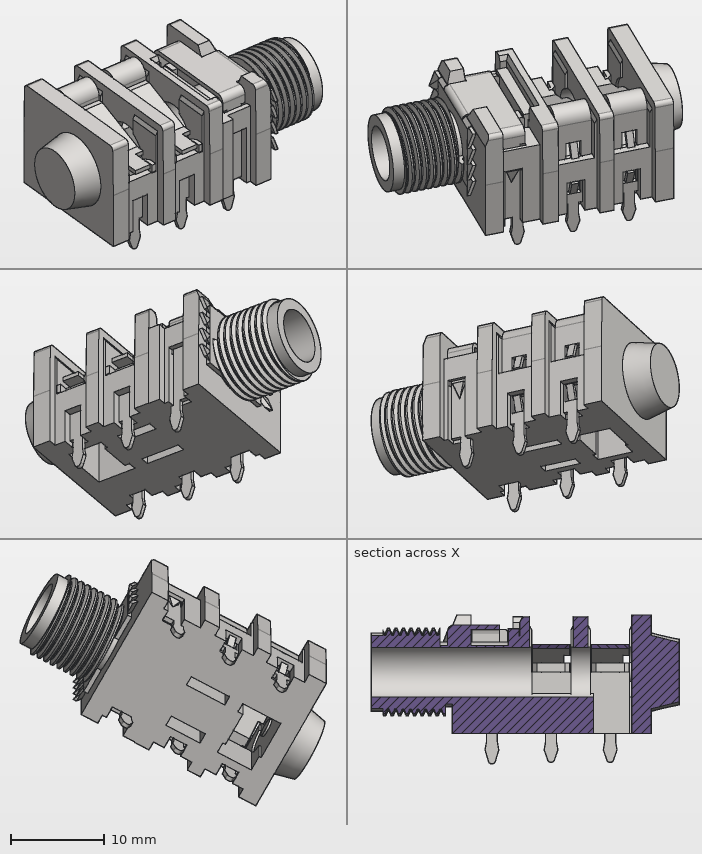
import cadquery as cq
import math

body_width = 15.75
body_length = 21.4
axis_x = 1.45
axis_z = 6.6
bay_pitch = 6.35
rear_bay_y = 4.43
bay_centres = [rear_bay_y, rear_bay_y + bay_pitch]
ground_y = rear_bay_y + 2 * bay_pitch

end_plate_top = 12.75
mid_plate_top = 12.55
side_draft = 0.12
plate_corner = 0.5
rear_plate = (0, 2.12)
middle_plate = (6.79, 8.4)
inner_plate = (13.09, 14.89)
front_plate = (19.36, body_length)

wall_x = 6.86
bay_left_x = -1.56
bay_right_x = 4.55
trough_x = (-0.5, 3.36)
trough_y = (6.2, 13.09)
trough_top = 4.4
nub_radius = 1.03
rib_inner_x = 2.82
rib_depth = 0.26
rib_height = 11.1
rib_slope = 0.5

chamber_wall_top = 9.76
side_stop_x = 7.82
chamber_x = (-3.33, 5.36)
strap_space_x = (-6.46, 6.25)
guide_y = (15.43, 16.3)
guide_top = 11.18
guide_chamfer = 0.2
guide_inner_x = (-1.95, 4.9)
key_x = (-3.03, 5.96)
key_y = (14.2, 15.4)
key_top = 11.28
key_notch_x = (-3.33, 6.25)
key_notch_y = 14.15
key_notch_floor = 10.5
key_bevel = 0.3
key_bevel_depth = 0.6

bore_radius = 3.0
neck_radius = 3.24
bushing_radius = 4.22
thread_root_radius = bushing_radius - 0.1
thread_radius = 4.73
thread_pitch = 0.805
thread_crest = 0.2
thread_root_width = 0.76
thread_start = 21.8
thread_end = 28.84
core_start = 22.1
relief_end = 22.7
collar_radius = 3.75
bushing_end = 30.1
tail_length = 3.0
tail_end_radius = 3.53

sheet = 0.5
contact_width = 4.05
leg_width = 2.0
leg_x = 6.04
pin_width = 1.2
pin_bulge = 1.5
contact_pin_length = 3.1
total_height = 16.02
ground_pin_length = total_height - end_plate_top

roll_radius = 1.52
roll_z = mid_plate_top - roll_radius
blade_start = (-2.4, 10.3)
blade_end = (3.7, 7.85)
arm_end_x = 7.3
arm_root_x = 4.75
notch_x = 1.76
notch_depth = 0.64
window_width = 1.7
window_height = 2.0
tongue_width = 0.8
tongue_reach = 0.65
tongue_gap = 0.3
upper_window_z = axis_z
lower_window_z = 1.9
leg_recess_top = 4.0
pin_shoulder_z = 0.6
pin_taper_start = -0.9
pin_bulge_z = -1.75
pin_tip_width = 0.8
pin_tip_height = 0.35

switch_x = 5.44
fork_end_x = 6.97
fork_width = 0.5
fork_height = 1.0

strap_y = (16.3, 19.3)
strap_top = 11.67
strap_left_x = -6.1
strap_right_x = 6.0
strap_corner = 0.86
tongue_x = (-1.54, 4.49)
tongue_bend = 0.7
gap_bottom_x = (-1.6, 4.54)
gap_slope = 0.72
gap_floor = strap_top - sheet
washer_front = 21.9
washer_x = (-3.4, 6.4)
washer_z = (3.4, 11.5)
washer_bevel = 0.45
tooth_outer_x = (-4.8, 7.75)
tooth_count = 4
tooth_pitch = 2.06
tooth_height = 1.75
tooth_lean = 0.4
tooth_tip_y = 22.45
ground_recess_top = 7.1
ground_leg_y = ground_y + 0.72
barb_width = 1.36
barb_height = 1.8
barb_gap = 0.32
barb_reach = 0.45
ground_shoulder_z = 0.4


def box(x_range, y_range, z_range):
    (x0, x1), (y0, y1), (z0, z1) = x_range, y_range, z_range
    return cq.Workplane("XY").box(x1 - x0, y1 - y0, z1 - z0, centered=False).translate((x0, y0, z0))


def centred(centre, width):
    return (centre - width / 2, centre + width / 2)


def along_y(radius, y_range):
    """Cylinder around the plug axis."""
    y0, y1 = y_range
    disc = cq.Workplane("XZ", origin=(axis_x, y0, axis_z)).circle(radius)
    return disc.extrude(y0 - y1)


def extrude_yz(points, x_range):
    x0, x1 = x_range
    return cq.Workplane("YZ", origin=(x0, 0, 0)).polyline(points).close().extrude(x1 - x0)


def extrude_xz(points, y_range):
    y0, y1 = y_range
    return cq.Workplane("XZ", origin=(0, y0, 0)).polyline(points).close().extrude(y0 - y1)


def pin(centre_y, x_range, length):
    """Solder pin with a swollen middle and a rounded tip."""
    tip_z = -length
    half = pin_width / 2
    outline = (
        cq.Workplane("YZ", origin=(x_range[0], centre_y, 0))
        .moveTo(-half, pin_shoulder_z)
        .lineTo(-half, pin_taper_start)
        .lineTo(-pin_bulge / 2, pin_bulge_z)
        .lineTo(-pin_tip_width / 2, tip_z + pin_tip_height)
        .threePointArc((0, tip_z), (pin_tip_width / 2, tip_z + pin_tip_height))
        .lineTo(pin_bulge / 2, pin_bulge_z)
        .lineTo(half, pin_taper_start)
        .lineTo(half, pin_shoulder_z)
        .close()
    )
    return outline.extrude(x_range[1] - x_range[0])


def lanced_window(leg, centre_y, bottom_z, opens_down):
    """Cuts a window in the leg and leaves a tongue that leans outwards."""
    top_z = bottom_z + window_height
    leg_range = (-leg_x, -leg_x + sheet)
    leg = leg.cut(box(leg_range, centred(centre_y, window_width), (bottom_z, top_z)))
    root_z, tip_z = (top_z, bottom_z) if opens_down else (bottom_z, top_z)
    tip_z += math.copysign(tongue_gap, root_z - tip_z)
    tongue = extrude_xz(
        [
            (-leg_x, root_z),
            (-leg_x + sheet, root_z),
            (-leg_x + sheet - tongue_reach, tip_z),
            (-leg_x - tongue_reach, tip_z),
        ],
        centred(centre_y, tongue_width),
    )
    return leg.union(tongue)


def spring_contact(centre_y):
    """Spring with a pin, a rolled top and a blade that crosses the plug bore."""
    leg_range = (-leg_x, -leg_x + sheet)
    full_y = centred(centre_y, contact_width)
    leg = box(leg_range, full_y, (axis_z, roll_z))
    leg = leg.union(box(leg_range, centred(centre_y, leg_width), (pin_shoulder_z, axis_z)))
    leg = leg.union(pin(centre_y, leg_range, contact_pin_length))
    leg = lanced_window(leg, centre_y, upper_window_z, True)
    leg = lanced_window(leg, centre_y, lower_window_z, False)

    roll_x = -leg_x + roll_radius
    inner_radius = roll_radius - sheet
    drop_x = roll_x + inner_radius
    half = sheet / 2
    blade = (
        cq.Workplane("XZ", origin=(0, full_y[0], 0))
        .moveTo(-leg_x, roll_z)
        .threePointArc((roll_x, roll_z + roll_radius), (roll_x + roll_radius, roll_z))
        .lineTo(roll_x + roll_radius, blade_start[1] + half)
        .lineTo(blade_start[0], blade_start[1] + half)
        .lineTo(blade_end[0], blade_end[1] + half)
        .lineTo(arm_end_x, blade_end[1] + half)
        .lineTo(arm_end_x, blade_end[1] - half)
        .lineTo(blade_end[0], blade_end[1] - half)
        .lineTo(blade_start[0], blade_start[1] - half)
        .lineTo(drop_x, blade_start[1] - half)
        .lineTo(drop_x, roll_z)
        .threePointArc((roll_x, roll_z + inner_radius), (-leg_x + sheet, roll_z))
        .close()
        .extrude(-contact_width)
    )
    arm_y = centred(centre_y, leg_width)
    height = (0, mid_plate_top)
    blade = blade.cut(box((notch_x, arm_end_x), (full_y[0], full_y[0] + notch_depth), height))
    blade = blade.cut(box((arm_root_x, arm_end_x), (full_y[0], arm_y[0]), height))
    blade = blade.cut(box((arm_root_x, arm_end_x), (arm_y[1], full_y[1]), height))
    return leg.union(blade)


def switch_contact(centre_y):
    """Plate under the spring arm, with a pin and two forks bent outwards."""
    plate_range = (switch_x, switch_x + sheet)
    top_z = blade_end[1] - sheet / 2
    plate = box(plate_range, centred(centre_y, leg_width), (pin_shoulder_z, top_z))
    plate = plate.union(pin(centre_y, plate_range, contact_pin_length))
    for side in (-1, 1):
        edge = contact_width / 2
        root = leg_width / 2
        fork = (
            cq.Workplane("XY", origin=(0, centre_y, top_z - fork_height))
            .polyline(
                [
                    (switch_x, side * (root - fork_width)),
                    (switch_x, side * (edge - fork_width)),
                    (switch_x + sheet, side * edge),
                    (fork_end_x, side * edge),
                    (fork_end_x, side * (edge - fork_width)),
                    (switch_x + sheet, side * (edge - fork_width)),
                    (switch_x + sheet, side * (root - fork_width)),
                ]
            )
            .close()
            .extrude(fork_height)
        )
        plate = plate.union(fork)
    return plate


def cross_plate(y_range, top):
    """Plate across the housing with drafted upper sides and rounded top corners."""
    half = body_width / 2
    top_half = half - side_draft
    y0, y1 = y_range
    return (
        cq.Workplane("XZ", origin=(0, y0, 0))
        .moveTo(-half, 0)
        .lineTo(-half, axis_z)
        .lineTo(-top_half, top - plate_corner)
        .radiusArc((-top_half + plate_corner, top), plate_corner)
        .lineTo(top_half - plate_corner, top)
        .radiusArc((top_half, top - plate_corner), plate_corner)
        .lineTo(half, axis_z)
        .lineTo(half, 0)
        .close()
        .extrude(y0 - y1)
    )


def front_cross_plate():
    """Front plate with a sloped front edge and a gap for the strap."""
    y0, y1 = front_plate
    plate = cross_plate(front_plate, end_plate_top)
    slope = extrude_yz(
        [(y1, washer_z[1]), (y1, end_plate_top), (y1 - plate_corner, end_plate_top)],
        (-body_width, body_width),
    )
    x0, x1 = gap_bottom_x
    gap = extrude_xz(
        [
            (x0, gap_floor),
            (x1, gap_floor),
            (x1 + gap_slope, end_plate_top),
            (x0 - gap_slope, end_plate_top),
        ],
        front_plate,
    )
    return plate.cut(slope).cut(gap)


def bay_ribs(plate_face_y, direction):
    """Shallow ribs on a plate face, one at each side, with sloped top ends."""
    tip_y = plate_face_y + direction * rib_depth
    profile = [
        (plate_face_y, 0),
        (tip_y, 0),
        (tip_y, rib_height),
        (plate_face_y, rib_height + rib_slope),
    ]
    left = extrude_yz(profile, (-wall_x, -rib_inner_x))
    right = extrude_yz(profile, (rib_inner_x, wall_x))
    return left.union(right)


def thread():
    """Helical thread ridge around the bushing, cut square at both ends."""
    height = thread_end - thread_start + thread_pitch
    helix = cq.Wire.makeHelix(thread_pitch, height, thread_root_radius)
    ridge = (
        cq.Workplane("XZ")
        .polyline(
            [
                (thread_root_radius, -thread_root_width / 2),
                (thread_radius, -thread_crest / 2),
                (thread_radius, thread_crest / 2),
                (thread_root_radius, thread_root_width / 2),
            ]
        )
        .close()
        .sweep(cq.Workplane(obj=helix), isFrenet=True)
    )
    ridge = ridge.rotate((0, 0, 0), (0, 0, 1), -90)
    ridge = ridge.rotate((0, 0, 0), (1, 0, 0), -90)
    ridge = ridge.translate((axis_x, thread_start, axis_z))
    return ridge.intersect(along_y(2 * thread_radius, (core_start, thread_end)))


def bushing():
    """Threaded bushing on a thinner neck that runs back into the chamber."""
    core = along_y(bushing_radius, (core_start, bushing_end)).union(thread())
    core = core.union(along_y(collar_radius, (body_length, core_start)))
    relief_x = centred(axis_x, body_width)
    core = core.cut(box(relief_x, (body_length, relief_end), (axis_z, body_width)))
    return core.union(along_y(neck_radius, (inner_plate[1], relief_end)))


def tail():
    """Closed cone behind the rear plate."""
    cone = cq.Workplane("XZ", origin=(axis_x, 0, axis_z)).circle(bushing_radius)
    return cone.workplane(offset=tail_length).circle(tail_end_radius).loft()


def ground_strap():
    """Strap over the chamber, with two legs, pins and a toothed washer plate."""
    strap = box((strap_left_x, strap_right_x), strap_y, (0, strap_top))
    strap = strap.edges("|Y and >Z").fillet(strap_corner)
    inner = box((strap_left_x + sheet, strap_right_x - sheet), strap_y, (0, strap_top - sheet))
    inner = inner.edges("|Y and >Z").fillet(strap_corner - sheet)
    strap = strap.cut(inner)
    outside_legs = box((-wall_x, wall_x), strap_y, (0, chamber_wall_top))
    leg_z = (pin_shoulder_z, chamber_wall_top)
    legs = box((-wall_x, wall_x), centred(ground_leg_y, leg_width), leg_z)
    strap = strap.cut(outside_legs.cut(legs))
    for x0 in (strap_left_x, strap_right_x - sheet):
        strap = strap.union(pin(ground_y, (x0, x0 + sheet), ground_pin_length))
    y1 = strap_y[1]
    tongue = box(tongue_x, (y1, washer_front), (washer_z[1] - tongue_bend, strap_top))
    tongue = tongue.edges("|X and >Y and >Z").fillet(tongue_bend)
    tongue = tongue.cut(box(tongue_x, (y1, body_length), (0, strap_top - sheet)))
    strap = strap.union(tongue)
    washer = box(washer_x, (body_length, washer_front), washer_z)
    washer = washer.edges("|X and >Y and >Z").chamfer(washer_bevel)
    for inner_x, outer_x in zip(washer_x, tooth_outer_x):
        x_range = (min(inner_x, outer_x), max(inner_x, outer_x))
        twist_outline = [
            (inner_x, body_length),
            (inner_x, washer_front),
            (outer_x, tooth_tip_y),
            (outer_x, body_length),
        ]
        twist = cq.Workplane("XY").polyline(twist_outline).close().extrude(body_width)
        for index in range(tooth_count):
            z0 = washer_z[0] + index * tooth_pitch
            tooth = extrude_yz(
                [
                    (body_length, z0 + tooth_height),
                    (body_length + tooth_lean, z0 + tooth_height),
                    (tooth_tip_y, z0),
                    (tooth_tip_y - tooth_lean, z0),
                ],
                x_range,
            )
            washer = washer.union(tooth.intersect(twist))
    return strap.union(washer)


def front_chamber():
    """Walls behind the front plate, with the space for the strap and a neck support."""
    y_range = (inner_plate[1], front_plate[0])
    chamber = box((-wall_x, wall_x), y_range, (axis_z, chamber_wall_top))
    stop_y = (inner_plate[1], strap_y[0])
    side_stop = box((wall_x, side_stop_x), stop_y, (0, chamber_wall_top))
    chamber = chamber.union(side_stop)
    chamber = chamber.cut(box(chamber_x, stop_y, (axis_z, chamber_wall_top)))
    chamber = chamber.cut(box(strap_space_x, (strap_y[0], y_range[1]), (axis_z, chamber_wall_top)))
    y0, y1 = guide_y
    guide_profile = [
        (y1, axis_z),
        (y0, axis_z),
        (y0, guide_top - guide_chamfer),
        (y0 + guide_chamfer, guide_top),
        (y1, guide_top),
    ]
    chamber = chamber.union(extrude_yz(guide_profile, (chamber_x[0], guide_inner_x[0])))
    return chamber.union(extrude_yz(guide_profile, (guide_inner_x[1], chamber_x[1])))


def key_notch():
    """Notch in the top of the inner plate, with bevelled upper edges."""
    y_range = (key_notch_y, inner_plate[1])
    notch = box(key_notch_x, y_range, (key_notch_floor, mid_plate_top))
    bevel_width = key_notch_x[1] - key_notch_x[0] + 2 * key_bevel
    bevel_length = 2 * (y_range[1] - y_range[0] + key_bevel)
    bevel = (
        cq.Workplane("XY", origin=(0, 0, mid_plate_top))
        .center(sum(key_notch_x) / 2, y_range[1])
        .rect(bevel_width, bevel_length)
        .extrude(-key_bevel_depth, taper=math.degrees(math.atan(key_bevel / key_bevel_depth)))
    )
    return notch.union(bevel)


def contact_slots(centre_y):
    """Slots for a spring leg and a switch contact, open outwards near the pins."""
    slot_y = centred(centre_y, leg_width)
    slots = box((-leg_x, -leg_x + sheet), slot_y, (0, axis_z))
    slots = slots.union(box((switch_x, switch_x + sheet), slot_y, (0, axis_z)))
    slots = slots.union(box((-wall_x, -leg_x), slot_y, (0, leg_recess_top)))
    return slots.union(box((switch_x + sheet, wall_x), slot_y, (0, leg_recess_top)))


def ground_recesses():
    """Recesses in the side walls that show the strap legs."""
    recess_y = centred(ground_leg_y, leg_width)
    left = box((-wall_x, strap_left_x), recess_y, (0, ground_recess_top))
    right = box((strap_right_x, wall_x), recess_y, (0, ground_recess_top))
    shoulder_y = (ground_y + pin_width / 2, recess_y[1])
    recesses = left.union(right)
    for x0 in (strap_left_x, strap_right_x - sheet):
        recesses = recesses.union(box((x0, x0 + sheet), shoulder_y, (0, ground_shoulder_z)))
    return recesses


def ground_barb():
    """Triangular barb bent outwards from the left strap leg."""
    top_z = ground_recess_top - barb_gap
    tip_z = top_z - barb_height
    y_range = centred(ground_leg_y, barb_width)
    outline = [(y_range[0], top_z), (y_range[1], top_z), (ground_leg_y, tip_z)]
    triangle = extrude_yz(outline, (strap_left_x - barb_reach, strap_left_x))
    wedge = extrude_xz(
        [(strap_left_x, tip_z), (strap_left_x, top_z), (strap_left_x - barb_reach, top_z)],
        y_range,
    )
    return triangle.intersect(wedge)


def housing():
    """Moulded housing with its bushing, end cone and ground strap as one body."""
    body = box((-wall_x, wall_x), (0, body_length), (0, axis_z))
    for y_range in ((rear_plate[1], middle_plate[0]), (middle_plate[1], inner_plate[0])):
        body = body.cut(box((bay_left_x, bay_right_x), y_range, (0, axis_z)))
        for face_y, direction in ((y_range[0], 1), (y_range[1], -1)):
            body = body.union(bay_ribs(face_y, direction))
    body = body.union(box(trough_x, trough_y, (0, trough_top)))
    body = body.union(cross_plate(rear_plate, end_plate_top))
    body = body.union(cross_plate(middle_plate, mid_plate_top))
    body = body.union(cross_plate(inner_plate, mid_plate_top).cut(key_notch()))
    body = body.union(front_cross_plate())
    body = body.union(front_chamber())
    body = body.union(box(key_x, key_y, (axis_z, key_top)))
    body = body.union(ground_strap()).cut(ground_recesses())
    body = body.union(ground_barb())
    body = body.union(bushing()).union(tail())
    body = body.cut(along_y(bore_radius, (rear_plate[1], bushing_end)))
    body = body.union(along_y(nub_radius, (rear_plate[1], rear_plate[1] + rib_depth)))
    for centre_y in bay_centres:
        body = body.cut(contact_slots(centre_y))
    return body


springs = [spring_contact(y) for y in bay_centres]
switches = [switch_contact(y) for y in bay_centres]
contacts = [contact.val() for contact in springs + switches]
result = cq.Compound.makeCompound([housing().val(), *contacts])